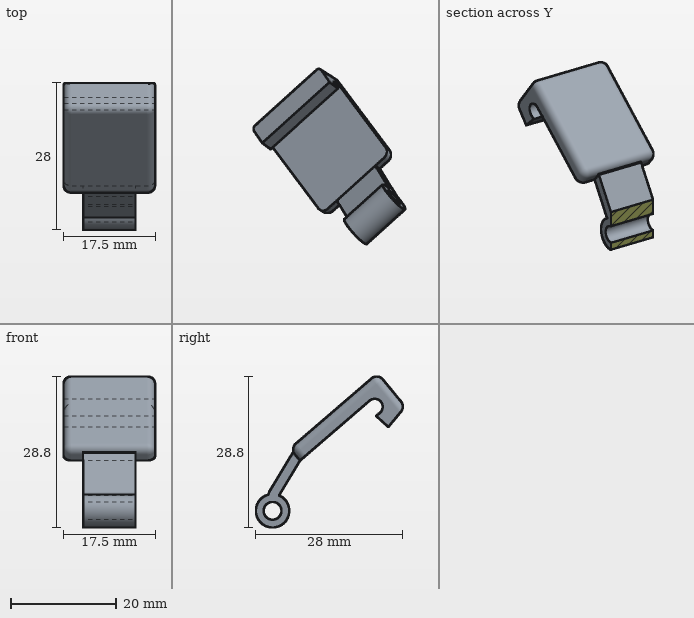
import math

import cadquery as cq

TILT = 40.7

HOLE_DIAMETER = 3.35
BARREL_DIAMETER = 6.4
ARM_WIDTH = 10.0

COVER_WIDTH = 17.5
EDGE_RADIUS = 1.5
PLATE_THICKNESS = 3.0
PLATE_TOP = 6.83
PLATE_BOTTOM = PLATE_TOP - PLATE_THICKNESS
PLATE_NEAR_END = 10.2
WALL_TOP_Y = 32.27
WALL_LEAN = 1.3
BLOCK_HEIGHT = 12.0

SLOT_RADIUS = 1.5
SLOT_CENTER_Y = 27.65
SLOT_CENTER_Z = PLATE_BOTTOM - SLOT_RADIUS
LIP_TIP = (26.7, SLOT_CENTER_Z - SLOT_RADIUS)
LIP_TOE = (27.1, -2.3)
FOOT_SLOPE = 10.0

ARM_THICKNESS = 1.98
ARM_SLOPE = 18.3
ARM_TOP_LENGTH = 8.74
ARM_LEDGE = 0.1
STEP_SLOPE = 34.0
STEP_LENGTH = 0.6


def prism(outline, width):
    """Extrude a closed (y, z) outline symmetrically about the YZ plane."""
    return outline.extrude(width / 2, both=True)


def wall_outer_y(z):
    """Position of the leaning outer wall face at height z."""
    return WALL_TOP_Y - (PLATE_TOP - z) * math.tan(math.radians(WALL_LEAN))


def rounded_block():
    """Solid envelope of the cover, rounded on all outer edges except at its foot."""
    block_bottom = PLATE_TOP - BLOCK_HEIGHT
    corners = [
        (PLATE_NEAR_END, block_bottom),
        (PLATE_NEAR_END, PLATE_TOP),
        (WALL_TOP_Y, PLATE_TOP),
        (wall_outer_y(block_bottom), block_bottom),
    ]
    block = prism(cq.Workplane("YZ").polyline(corners).close(), COVER_WIDTH)
    bottom_edges = block.faces("<Z").edges().vals()
    outer_edges = [
        edge for edge in block.edges().vals()
        if not any(edge.isSame(bottom) for bottom in bottom_edges)
    ]
    return block.newObject(outer_edges).fillet(EDGE_RADIUS)


def hook_profile():
    """Plate and hooked wall as a prism, with the outer foot edge of the wall rounded."""
    foot_tan = math.tan(math.radians(FOOT_SLOPE))
    lean_tan = math.tan(math.radians(WALL_LEAN))
    wall_at_toe = wall_outer_y(LIP_TOE[1])
    rise = (wall_at_toe - LIP_TOE[0]) * foot_tan / (1 - foot_tan * lean_tan)
    foot_z = LIP_TOE[1] + rise
    foot_corner = (wall_outer_y(foot_z), foot_z)
    outline = (
        cq.Workplane("YZ")
        .moveTo(PLATE_NEAR_END, PLATE_BOTTOM)
        .lineTo(SLOT_CENTER_Y, PLATE_BOTTOM)
        .threePointArc(
            (SLOT_CENTER_Y + SLOT_RADIUS, SLOT_CENTER_Z),
            (SLOT_CENTER_Y, SLOT_CENTER_Z - SLOT_RADIUS),
        )
        .lineTo(*LIP_TIP)
        .lineTo(*LIP_TOE)
        .lineTo(*foot_corner)
        .lineTo(WALL_TOP_Y, PLATE_TOP)
        .lineTo(PLATE_NEAR_END, PLATE_TOP)
        .close()
    )
    profile = prism(outline, COVER_WIDTH)
    foot_edge = cq.selectors.NearestToPointSelector((0, *foot_corner))
    return profile.edges(foot_edge).fillet(EDGE_RADIUS)


def step_from(point, slope, length):
    """Point reached by moving toward the hinge and down at the given slope."""
    angle = math.radians(slope)
    return (point[0] - length * math.cos(angle), point[1] - length * math.sin(angle))


def arm():
    """Sloping strap from the near end of the plate, past a narrow ledge, into the barrel wall."""
    end_height = ARM_THICKNESS / math.cos(math.radians(ARM_SLOPE))
    lower_start = (PLATE_NEAR_END, PLATE_BOTTOM)
    ledge_z = PLATE_BOTTOM + end_height - ARM_LEDGE * math.tan(math.radians(ARM_SLOPE))
    ledge_start = (PLATE_NEAR_END + EDGE_RADIUS, ledge_z)
    upper_start = (PLATE_NEAR_END - ARM_LEDGE, ledge_z)
    upper_end = step_from(upper_start, ARM_SLOPE, ARM_TOP_LENGTH)
    step_end = step_from(upper_end, STEP_SLOPE, STEP_LENGTH)
    inside_plate = (ledge_start[0], PLATE_BOTTOM)
    lower_end = step_from(lower_start, ARM_SLOPE, ARM_TOP_LENGTH)
    corners = [lower_start, inside_plate, ledge_start, upper_start, upper_end, step_end, lower_end]
    return prism(cq.Workplane("YZ").polyline(corners).close(), ARM_WIDTH)


def barrel():
    """Hinge barrel around the X axis."""
    return prism(cq.Workplane("YZ").circle(BARREL_DIAMETER / 2), ARM_WIDTH)


def pin_hole():
    """Hinge pin hole through the barrel."""
    return prism(cq.Workplane("YZ").circle(HOLE_DIAMETER / 2), ARM_WIDTH)


cover = rounded_block().intersect(hook_profile())
flat_clip = cover.union(arm()).union(barrel()).cut(pin_hole())
result = flat_clip.rotate((0, 0, 0), (1, 0, 0), TILT)